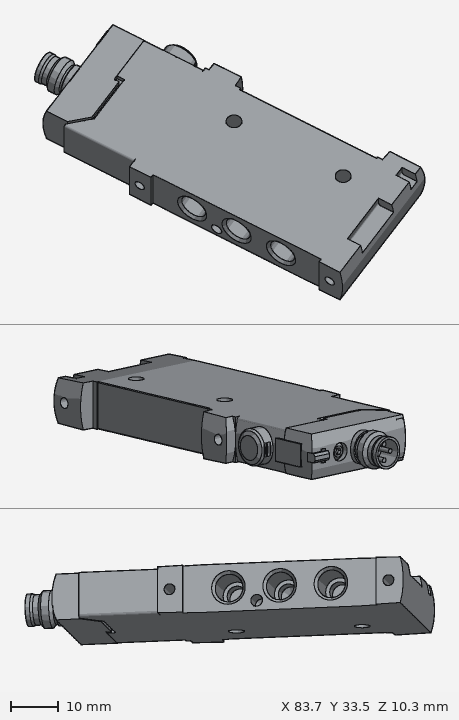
import cadquery as cq
import math


block_left = 30.95
block_right = 83.69
body_left = 40.15
body_right = 74.0
body_bottom = 0.75
body_top = 29.3
body_edge_chamfer = 0.2
body_thickness = 10.25
end_thickness = 9.85
taper_right = 82.55
end_arc_sag = 0.65
foot_left_end = 36.3
foot_right_start = 77.85
arm_top = 32.9
arm_arc_sag = 0.75
arm_foot = 29.55
arm_left_end = 38.6
arm_right_start = 75.5
arm_slant = 0.25
nose_bottom = 30.25
nose_sag = 1.0

mount_diameter = 3.3
mount_x = (43.5, 70.5)
mount_y = 21.5
end_hole_diameter = 2.3
end_hole_x = (33.5, 80.5)
port_middle_x = 57.0
port_pitch = 11.0
port_mouth_diameter = 7.2
port_diameter = 5.92
port_depth = 9.0
port_floor_diameter = 4.2
port_floor_depth = 12.0
drill_tip_angle = 118.0
pilot_diameter = 2.5
pilot_x = 52.05
pilot_z = -3.0
pilot_depth = 5.0

notch_start = 79.8
notch_floor_radius = 0.6
notch_depth = 2.3
notch_ranges = ((8.25, 20.65), (27.65, 30.05))

coil_left = 13.65
coil_bottom = 1.75
coil_lip_top = 2.3
coil_thickness = 9.85
coil_radius = 0.7
coil_top = 30.3
coil_shoulder = 29.8
step_x = 18.1
step_bottom = coil_lip_top + step_x - coil_left
step_top = 18.7

knob_x = 23.5
knob_diameter = 8.0
knob_bevel_diameter = 7.2
knob_top_diameter = 5.3
knob_top = 33.47
knob_rim = 32.6
knob_bevel = 33.1
knob_base = 29.0
knob_notch_depth = 0.3
knob_notch_width = 3.9
knob_notch_ranges = ((30.85, 31.75), (32.0, knob_rim))

cap_left = 7.6
cap_face_sag = 0.9
cap_bottom = 3.1
cap_joint_x = 16.26
cap_tab_x = 17.45
cap_tab_top = 17.65
cap_tab_low_y = 6.85
cap_ramp_x = cap_tab_x - (cap_tab_low_y - cap_bottom)
coil_ramp_x = coil_left + cap_bottom - coil_lip_top
groove_depth = 1.0
cap_top = 30.3
cap_top_sag = 0.75
cap_thickness = 9.85
clip_left = 10.9
clip_right = 18.4
clip_bottom = 29.9
clip_top = 30.55
clip_width = 5.0

plug_y = 15.5
plug_tip_diameter = 6.9
plug_groove_diameter = 6.5
plug_ring_diameter = 8.0
plug_flange_diameter = 7.2
plug_tip_end = 1.0
plug_front_groove = (1.6, 2.8)
plug_ring = (3.5, 5.2)
plug_rear_groove = (5.95, 6.55)
plug_bore_diameter = 5.8
plug_bore_depth = 5.0
plug_root = 9.5
pin_diameter = 1.0
pin_tip_x = 1.0
pin_places = ((0.1, 1.73), (0.1, -1.73), (-1.65, 0.0))

screw_y = 22.05
screw_pocket_diameter = 3.9
screw_pocket_depth = 2.0
screw_head_diameter = 3.8
screw_face_diameter = 2.4
screw_face_x = 8.2
screw_rim_x = 8.8
hex_corner_diameter = 1.6
hex_depth = 0.8
face_pad_x = 8.2
face_pad_range = (3.4, 5.2)
face_pad_width = 8.5
rib_front = 6.65
rib_back = 9.0
rib_slope = 0.45
rib_bottom = 26.1
rib_width = 2.0
rib_front_width = 0.9
nub_front = 7.4
nub_width = 3.0
nub_range = (26.6, 27.6)


def box(x_range, y_range, z_range):
    """Block between two corners."""
    size = [high - low for low, high in (x_range, y_range, z_range)]
    return cq.Workplane("XY").box(*size, centered=False).translate((x_range[0], y_range[0], z_range[0]))


def prism_xy(points, thickness):
    """Outline in X and Y, extruded evenly to both sides of the mid plane."""
    return cq.Workplane("XY").polyline(points).close().extrude(thickness / 2, both=True)


def cylinder_y(x, z, diameter, y_start, y_end):
    """Cylinder along +Y."""
    return cq.Workplane("XZ", origin=(x, y_start, z)).circle(diameter / 2).extrude(y_start - y_end)


def cylinder_x(y, z, diameter, x_start, x_end):
    """Cylinder along +X."""
    return cq.Workplane("YZ", origin=(x_start, y, z)).circle(diameter / 2).extrude(x_end - x_start)


def turned_y(x, z, profile):
    """Solid of revolution about a Y axis; the profile lists (radius, y)."""
    points = [(x + radius, y) for radius, y in profile]
    turned = cq.Workplane("XY").polyline(points).close().revolve(360, (x, 0), (x, 1))
    return turned.translate((0, 0, z))


def turned_x(y, profile):
    """Solid of revolution about an X axis in the mid plane; the profile lists (x, radius)."""
    points = [(x, y + radius) for x, radius in profile]
    return cq.Workplane("XY").polyline(points).close().revolve(360, (0, y), (1, y))


def drill_tip(diameter):
    """Height of the cone that a drill leaves."""
    return diameter / 2 / math.tan(math.radians(drill_tip_angle / 2))


def block_shape():
    """Outline with feet and arms, tapered towards both ends and bowed at the right and on the arms."""
    outline = prism_xy(
        [
            (block_left, 0),
            (foot_left_end, 0),
            (foot_left_end, body_bottom),
            (foot_right_start, body_bottom),
            (foot_right_start, 0),
            (block_right, 0),
            (block_right, arm_top),
            (arm_right_start, arm_top),
            (arm_right_start - arm_slant, arm_foot),
            (body_right, arm_foot),
            (body_right, body_top),
            (body_left, body_top),
            (body_left, arm_foot),
            (arm_left_end + arm_slant, arm_foot),
            (arm_left_end, arm_top),
            (block_left, arm_top),
        ],
        body_thickness,
    )
    half = body_thickness / 2
    end_half = end_thickness / 2
    arc_start = block_right - end_arc_sag
    side = (
        cq.Workplane("XZ")
        .moveTo(block_left, -end_half)
        .lineTo(body_left, -half)
        .lineTo(body_right, -half)
        .lineTo(taper_right, -end_half)
        .lineTo(arc_start, -end_half)
        .threePointArc((block_right, 0), (arc_start, end_half))
        .lineTo(taper_right, end_half)
        .lineTo(body_right, half)
        .lineTo(body_left, half)
        .lineTo(block_left, end_half)
        .close()
        .extrude(-arm_top)
    )
    end_view = (
        cq.Workplane("YZ", origin=(block_left, 0, 0))
        .moveTo(0, -half)
        .lineTo(arm_top - arm_arc_sag, -half)
        .threePointArc((arm_top, 0), (arm_top - arm_arc_sag, half))
        .lineTo(0, half)
        .close()
        .extrude(block_right - block_left)
    )
    return outline.intersect(side).intersect(end_view)


def body_edge_cutter():
    """Bevels the upper back edge of the body, between the two end blocks."""
    half = body_thickness / 2
    return (
        cq.Workplane("YZ", origin=(body_left, 0, 0))
        .moveTo(body_top, half)
        .lineTo(body_top - body_edge_chamfer, half)
        .lineTo(body_top, half - body_edge_chamfer)
        .close()
        .extrude(body_right - body_left)
    )


def nose_cutter():
    """Removes what lies ahead of the bowed left face of the arm, above the coil housing."""
    half = body_thickness / 2
    return (
        cq.Workplane("XZ", origin=(0, nose_bottom, 0))
        .moveTo(block_left + nose_sag, -half)
        .threePointArc((block_left, 0), (block_left + nose_sag, half))
        .lineTo(block_left - nose_sag, half)
        .lineTo(block_left - nose_sag, -half)
        .close()
        .extrude(nose_bottom - arm_top)
    )


def port_cutter(x, pointed):
    """Chamfered port bore with a narrower hole below it, flat or with a drill point."""
    mouth = port_mouth_diameter / 2
    bore = port_diameter / 2
    inner = port_floor_diameter / 2
    bore_end = body_bottom + port_depth
    floor = body_bottom + port_floor_depth
    profile = [
        (0, body_bottom),
        (mouth, body_bottom),
        (bore, body_bottom + mouth - bore),
        (bore, bore_end),
        (inner, bore_end),
        (inner, floor),
        (0, floor + (drill_tip(port_floor_diameter) if pointed else 0)),
    ]
    return turned_y(x, 0, profile)


def pilot_cutter():
    """Small blind hole with a drill point."""
    radius = pilot_diameter / 2
    floor = body_bottom + pilot_depth
    tip = floor + drill_tip(pilot_diameter)
    return turned_y(pilot_x, pilot_z, [(0, body_bottom), (radius, body_bottom), (radius, floor), (0, tip)])


def notch_cutter(y_start, y_end):
    """Pocket open to the right end and the top, with a rounded foot to its inner wall."""
    top = body_thickness / 2
    floor = end_thickness / 2 - notch_depth
    return (
        cq.Workplane("XZ", origin=(0, y_start, 0))
        .moveTo(notch_start, top)
        .lineTo(notch_start, floor + notch_floor_radius)
        .radiusArc((notch_start + notch_floor_radius, floor), -notch_floor_radius)
        .lineTo(block_right, floor)
        .lineTo(block_right, top)
        .close()
        .extrude(y_start - y_end)
    )


def valve_block():
    """Valve block with its mounting holes, ports and notches."""
    block = block_shape().cut(nose_cutter())
    edge_bevel = body_edge_cutter()
    block = block.cut(edge_bevel).cut(edge_bevel.mirror("XY"))
    for x in mount_x:
        hole = cq.Workplane("XY", origin=(x, mount_y, 0)).circle(mount_diameter / 2)
        block = block.cut(hole.extrude(body_thickness, both=True))
    for x in end_hole_x:
        block = block.cut(cylinder_y(x, 0, end_hole_diameter, 0, arm_top))
    for index in (-1, 0, 1):
        block = block.cut(port_cutter(port_middle_x + index * port_pitch, index == 0))
    block = block.cut(pilot_cutter())
    for y_start, y_end in notch_ranges:
        block = block.cut(notch_cutter(y_start, y_end))
    return block


def coil_housing():
    """Housing with rounded long edges and a bowed top, stepped where it meets the cap."""
    outline = prism_xy(
        [
            (coil_left, coil_bottom),
            (block_left, coil_bottom),
            (block_left, coil_top),
            (cap_joint_x, coil_top),
            (cap_joint_x, step_top),
            (step_x, step_top),
            (step_x, step_bottom),
            (coil_left, coil_lip_top),
        ],
        coil_thickness,
    )
    half = coil_thickness / 2
    inset = half - coil_radius
    section = (
        cq.Workplane("YZ", origin=(coil_left, 0, 0))
        .moveTo(coil_bottom, inset)
        .lineTo(coil_bottom, -inset)
        .radiusArc((coil_bottom + coil_radius, -half), -coil_radius)
        .lineTo(coil_shoulder - coil_radius, -half)
        .radiusArc((coil_shoulder, -inset), -coil_radius)
        .threePointArc((coil_top, 0), (coil_shoulder, inset))
        .radiusArc((coil_shoulder - coil_radius, half), -coil_radius)
        .lineTo(coil_bottom + coil_radius, half)
        .radiusArc((coil_bottom, inset), -coil_radius)
        .close()
        .extrude(block_left - coil_left)
    )
    return outline.intersect(section).cut(clip())


def knob():
    """Round knob with a bevelled crown and shallow notches on its left and right sides."""
    radius = knob_diameter / 2
    shape = turned_y(
        knob_x,
        0,
        [
            (0, knob_base),
            (radius, knob_base),
            (radius, knob_rim),
            (knob_bevel_diameter / 2, knob_bevel),
            (knob_top_diameter / 2, knob_top),
            (0, knob_top),
        ],
    )
    z_range = (-knob_notch_width / 2, knob_notch_width / 2)
    inner = radius - knob_notch_depth
    for y_range in knob_notch_ranges:
        shape = shape.cut(box((knob_x - radius, knob_x - inner), y_range, z_range))
        shape = shape.cut(box((knob_x + inner, knob_x + radius), y_range, z_range))
    return shape


def clip():
    """Flat clip of the cap that reaches over the top of the coil housing."""
    return box((clip_left, clip_right), (clip_bottom, clip_top), (-clip_width / 2, clip_width / 2))


def joint_groove_cutter():
    """Shallow gap in the upper face of the cap, along its joint with the coil housing."""
    points = [
        (cap_joint_x, cap_tab_top),
        (cap_joint_x, step_top),
        (step_x, step_top),
        (step_x, step_bottom),
        (coil_ramp_x, cap_bottom),
        (cap_ramp_x, cap_bottom),
        (cap_tab_x, cap_tab_low_y),
        (cap_tab_x, cap_tab_top),
    ]
    floor = cap_thickness / 2 - groove_depth
    return cq.Workplane("XY", origin=(0, 0, floor)).polyline(points).close().extrude(groove_depth)


def cap_shell():
    """Cap with a bowed left face and a bowed top, fitted to the stepped end of the coil housing."""
    outline = prism_xy(
        [
            (cap_left, cap_bottom),
            (coil_ramp_x, cap_bottom),
            (step_x, step_bottom),
            (step_x, step_top),
            (cap_joint_x, step_top),
            (cap_joint_x, cap_top),
            (cap_left, cap_top),
        ],
        cap_thickness,
    )
    half = cap_thickness / 2
    face = (
        cq.Workplane("XZ")
        .moveTo(cap_left + cap_face_sag, -half)
        .threePointArc((cap_left, 0), (cap_left + cap_face_sag, half))
        .lineTo(step_x, half)
        .lineTo(step_x, -half)
        .close()
        .extrude(-cap_top)
    )
    end_view = (
        cq.Workplane("YZ")
        .moveTo(cap_bottom, -half)
        .lineTo(cap_top - cap_top_sag, -half)
        .threePointArc((cap_top, 0), (cap_top - cap_top_sag, half))
        .lineTo(cap_bottom, half)
        .close()
        .extrude(step_x)
    )
    shell = outline.intersect(face).intersect(end_view)
    groove = joint_groove_cutter()
    return shell.cut(groove).cut(groove.mirror("XY"))


def plug():
    """Ringed round plug with an open bore and three contact pins."""
    tip = plug_tip_diameter / 2
    groove = plug_groove_diameter / 2
    ring = plug_ring_diameter / 2
    flange = plug_flange_diameter / 2
    shape = turned_x(
        plug_y,
        [
            (0, 0),
            (0, tip),
            (plug_tip_end, tip),
            (plug_front_groove[0], groove),
            (plug_front_groove[1], groove),
            (plug_ring[0], ring),
            (plug_ring[1], ring),
            (plug_rear_groove[0], groove),
            (plug_rear_groove[1], groove),
            (plug_rear_groove[1], flange),
            (plug_root, flange),
            (plug_root, 0),
        ],
    )
    shape = shape.cut(cylinder_x(plug_y, 0, plug_bore_diameter, 0, plug_bore_depth))
    for y_offset, z in pin_places:
        shape = shape.union(cylinder_x(plug_y + y_offset, z, pin_diameter, pin_tip_x, plug_root))
    return shape


def screw_head():
    """Conical hex-socket screw head standing in its pocket."""
    pocket_floor = cap_left + screw_pocket_depth
    head = turned_x(
        screw_y,
        [
            (screw_face_x, 0),
            (screw_face_x, screw_face_diameter / 2),
            (screw_rim_x, screw_head_diameter / 2),
            (pocket_floor, screw_head_diameter / 2),
            (pocket_floor, 0),
        ],
    )
    socket = cq.Workplane("YZ", origin=(screw_face_x, screw_y, 0)).polygon(6, hex_corner_diameter)
    return head.cut(socket.extrude(hex_depth))


def locking_rib():
    """Rib with sloping flanks on the left face of the cap, with a wider nub near its lower end."""
    base = rib_width / 2
    front = rib_front_width / 2
    rib = (
        cq.Workplane("XZ", origin=(0, rib_bottom, 0))
        .polyline(
            [
                (rib_front, -front),
                (rib_front + rib_slope, -base),
                (rib_back, -base),
                (rib_back, base),
                (rib_front + rib_slope, base),
                (rib_front, front),
            ]
        )
        .close()
        .extrude(rib_bottom - cap_top)
    )
    return rib.union(box((nub_front, rib_back), nub_range, (-nub_width / 2, nub_width / 2)))


def face_pad():
    """Flat pad that only just rises out of the bowed cap face at its two ends."""
    z_range = (-face_pad_width / 2, face_pad_width / 2)
    return box((face_pad_x, cap_left + screw_pocket_depth), face_pad_range, z_range)


def connector_cap():
    """Cap with its plug, screw, locking rib and clip."""
    cap = cap_shell()
    pocket_end = cap_left + screw_pocket_depth
    cap = cap.cut(cylinder_x(screw_y, 0, screw_pocket_diameter, rib_front, pocket_end))
    return cap.union(screw_head()).union(plug()).union(locking_rib()).union(face_pad()).union(clip())


valve = valve_block().union(coil_housing()).union(knob())
cap = connector_cap()

result = cq.Compound.makeCompound([valve.val(), cap.val()])